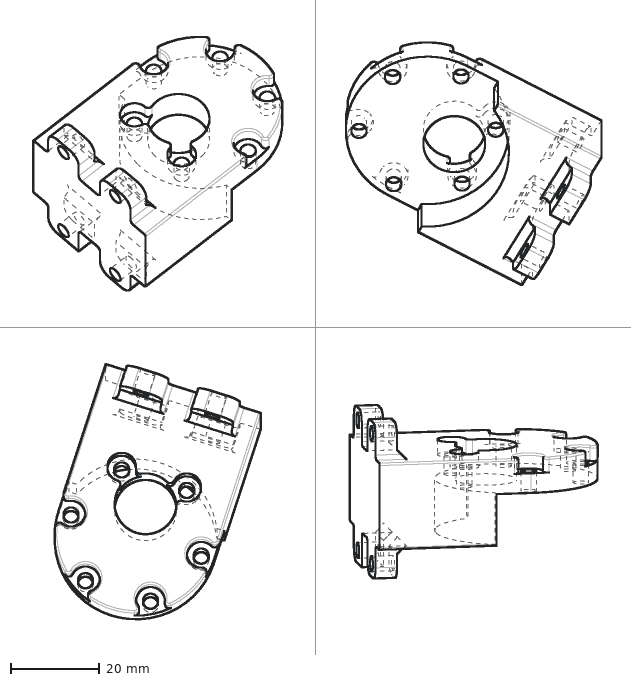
import cadquery as cq
import math

length = 53.5
width = 37.0
block_height = 20.0
block_depth = 27.0
plate_thickness = 8.0
edge_radius = 0.5

end_radius = width / 2
end_y = length - end_radius
top_z = block_height / 2

bore_diameter = 14.0
bore_y = 28.0
screw_count = 6
screw_ring_radius = 15.5
screw_diameter = 3.5
recess_radius = 3.25
recess_depth = 3.5
mouth_radius = 1.0
selection_margin = 1.1

seat_radius = end_radius

overall_height = 36.0
tab_height = (overall_height - block_height) / 2
tab_width = 10.0
tab_x = 8.5
tab_thickness = 5.0
tab_corner_radius = 3.0
tab_root_radius = 1.0
tab_hole_diameter = 3.5
tab_hole_height = tab_height - tab_corner_radius
gusset_size = 2.0
gusset_depth = tab_thickness + gusset_size

fuse_overlap = 1.6


def make_body():
    """Plate with a round far end, joined to the block below its front half."""
    plate = (
        cq.Workplane("XY", origin=(0, 0, top_z - plate_thickness))
        .moveTo(-width / 2, 0)
        .lineTo(width / 2, 0)
        .lineTo(width / 2, end_y)
        .threePointArc((0, length), (-width / 2, end_y))
        .close()
        .extrude(plate_thickness)
    )
    block = cq.Workplane("XY").box(width, block_depth, block_height, centered=(True, False, True))
    return plate.union(block).clean()


def screw_points():
    """Screw hole centres, split into those at the rim and those beside the bore."""
    rim = []
    inner = []
    for i in range(screw_count):
        angle = 2 * math.pi * i / screw_count
        x = screw_ring_radius * math.cos(angle)
        y = end_y + screw_ring_radius * math.sin(angle)
        if y > end_y - recess_radius:
            rim.append((x, y))
        else:
            inner.append((x, y))
    return rim, inner


def cut_recesses(body, points):
    """Sink a round recess at each point and round the corners of its open mouth."""
    recesses = (
        cq.Workplane("XY", origin=(0, 0, top_z - recess_depth))
        .pushPoints(points)
        .circle(recess_radius)
        .extrude(recess_depth)
    )
    body = body.cut(recesses)
    reach = selection_margin * recess_radius
    for x, y in points:
        near = cq.selectors.BoxSelector(
            (x - reach, y - reach, top_z - recess_depth),
            (x + reach, y + reach, top_z),
        )
        body = body.edges("|Z").edges(near).fillet(mouth_radius)
    return body


def make_tab(square_inner_corner=False):
    """Upper right tab, flared at its root and backed by a 45 degree gusset."""
    half = tab_width / 2
    tip_z = top_z + tab_height
    inner_x = tab_x - half
    outer_x = tab_x + half
    outline = (
        cq.Workplane("XZ")
        .moveTo(inner_x - tab_root_radius, top_z - fuse_overlap)
        .lineTo(outer_x + tab_root_radius, top_z - fuse_overlap)
        .lineTo(outer_x + tab_root_radius, top_z)
        .radiusArc((outer_x, top_z + tab_root_radius), tab_root_radius)
        .lineTo(outer_x, tip_z - tab_corner_radius)
        .radiusArc((outer_x - tab_corner_radius, tip_z), -tab_corner_radius)
    )
    if square_inner_corner:
        outline = outline.lineTo(inner_x, tip_z)
    else:
        outline = outline.lineTo(inner_x + tab_corner_radius, tip_z)
        outline = outline.radiusArc((inner_x, tip_z - tab_corner_radius), -tab_corner_radius)
    flared = (
        outline.lineTo(inner_x, top_z + tab_root_radius)
        .radiusArc((inner_x - tab_root_radius, top_z), tab_root_radius)
        .close()
        .extrude(-gusset_depth)
    )
    side_profile = (
        cq.Workplane("YZ")
        .polyline([
            (0, top_z - fuse_overlap),
            (gusset_depth, top_z - fuse_overlap),
            (gusset_depth, top_z),
            (tab_thickness, top_z + gusset_size),
            (tab_thickness, tip_z),
            (0, tip_z),
        ])
        .close()
        .extrude(width / 2)
    )
    hole = (
        cq.Workplane("XZ")
        .center(tab_x, top_z + tab_hole_height)
        .circle(tab_hole_diameter / 2)
        .extrude(-tab_thickness)
    )
    return flared.intersect(side_profile).cut(hole)


body = make_body()
rim_points, inner_points = screw_points()

body = cut_recesses(body, rim_points)
body = body.faces(">Z").edges("not <Y").fillet(edge_radius)
body = body.faces("<Z").edges("|Y").fillet(edge_radius)

bore = (
    cq.Workplane("XY")
    .center(0, bore_y)
    .circle(bore_diameter / 2)
    .extrude(block_height, both=True)
)
body = body.cut(bore)
body = cut_recesses(body, inner_points)
screw_holes = (
    cq.Workplane("XY")
    .pushPoints(rim_points + inner_points)
    .circle(screw_diameter / 2)
    .extrude(block_height, both=True)
)
body = body.cut(screw_holes)

seat = (
    cq.Workplane("XY", origin=(0, end_y, -top_z))
    .circle(seat_radius)
    .extrude(block_height - plate_thickness)
)
body = body.cut(seat)

tab = make_tab()
square_tab = make_tab(square_inner_corner=True)
result = (
    body.union(tab)
    .union(tab.mirror("YZ"))
    .union(tab.mirror("XY"))
    .union(square_tab.mirror("YZ").mirror("XY"))
)